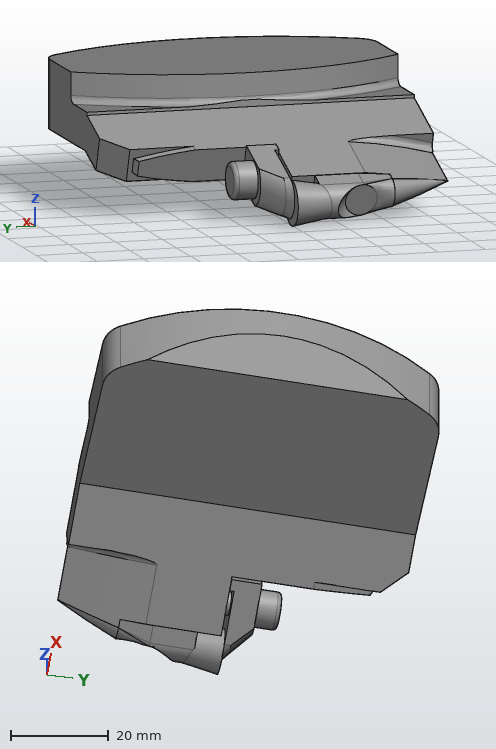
import cadquery as cq
import math

TILT = 20.0

WIDTH = 70.0
BLOCK_END_X = 70.6
BLOCK_TOP_Z = 21.9
BLOCK_BOTTOM_Z = 7.3
STEP_X = 29.85
SHELF_Z = 15.5
END_RADIUS = 60.0
PLATFORM_FRONT_X = 30.0
PLATFORM_FILLET = 1.5
REAR_CORNER_RADIUS = 6.0
REAR_CHAMFER = 6.5
FRONT_CORNER_CHAMFER = 5.05

HALF_THICKNESS = 3.8
NECK_X = 18.55
PAD_X = 17.0
PAD_END_Y = 28.2
PAD_END_BEVEL = 0.75
SEAT_X = 4.3
SHOULDER_Y = -0.7
FLAT_HALF_WIDTH = 16.35
TAPER_LENGTH = 18.4
TAPER_RADIUS = 104.0
NECK_FILLET = 1.5
NOSE_END_Y = -(FLAT_HALF_WIDTH + TAPER_LENGTH)
NOSE_END_AXIS_X = 5.6
NOSE_EDGE_HALF = 0.1

CLAMP_HALF_THICKNESS = 4.4
CLAMP_TOP_Y = 5.65
CLAMP_BACK_X = 16.6
TOOTH_FRONT_X = 14.2
CLAMP_BEVEL_START_Y = 1.6
CLAMP_LOW_CORNER_X = 2.8
CLAMP_TOP_CORNER_X = 7.1
CLAMP_LOW_TIP_X = -2.0
CLAMP_BEVEL_TIP_X = -0.3
CLAMP_TOP_TIP_X = 4.5
SCREW_X = 10.25
SCREW_HEAD_DIAMETER = 7.9
SCREW_HEAD_HEIGHT = 4.9
SCREW_HEAD_FILLET = 0.9
SCREW_SHANK_DIAMETER = 4.8

CUTTING_Y = 0.2
CUTTING_RADIUS = 4.75
CLEARANCE_ANGLE = 9.5
SHANK_HALF_THICKNESS = 3.7
SHANK_CORNER_X = 0.45
SHANK_TIP_X = -3.5
SHANK_START_Y = -5.6
SHANK_BEND_Y = -14.85
INSERT_END_Y = -21.7
INSERT_END_CORNER_X = 2.5
INSERT_END_RADIUS = 3.1
POCKET_X = -0.2
POCKET_RADIUS = 3.6
RAMP_REACH = 3.2
POCKET_FLARE_ANGLE = 37.0
POCKET_DEPTH = 7.55

TILT_COS = math.cos(math.radians(TILT))
TILT_SIN = math.sin(math.radians(TILT))
CLEAR = 15.1


def tilted(shape):
    return shape.rotate((0, 0, 0), (0, 1, 0), -TILT)


def tilted_point(x, z):
    return (x * TILT_COS - z * TILT_SIN, x * TILT_SIN + z * TILT_COS)


def tilted_line_x(offset, z):
    """X at which the tilted line lying `offset` above the mid-plane reaches height z."""
    return (z - offset / TILT_COS) * TILT_COS / TILT_SIN


def tilted_line_z(offset, x):
    return (offset + x * TILT_SIN) / TILT_COS


def slab(points, half_thickness):
    """Plate with a polygonal outline in X and Y, centred on z = 0."""
    return cq.Workplane("XY").polyline(points).close().extrude(half_thickness, both=True)


def round_nose(y, corner_x, tip_x, half):
    """Open path at the given Y: a round end between two corners, bulging to tip_x."""
    return (
        cq.Workplane("XZ", origin=(0, y, 0))
        .moveTo(corner_x, half)
        .threePointArc((tip_x, 0), (corner_x, -half))
    )


def half_disc(y, corner_x, radius):
    return round_nose(y, corner_x, corner_x - radius, radius).close().val()


def round_ended(y, corner_x, tip_x, half, back_x):
    """Closed section with a rounded front, flat sides and a flat back."""
    return round_nose(y, corner_x, tip_x, half).lineTo(back_x, -half).lineTo(back_x, half).close().val()


def loft(wires, ruled=True):
    return cq.Workplane(cq.Solid.makeLoft(wires, ruled))



def block():
    """Full-width bent block, with the neck leading down towards the blade."""
    top_corner = tilted_point(NECK_X, HALF_THICKNESS)
    bottom_corner = tilted_point(NECK_X, -HALF_THICKNESS)
    side = [
        top_corner,
        (STEP_X, tilted_line_z(HALF_THICKNESS, STEP_X)),
        (STEP_X, BLOCK_TOP_Z),
        (BLOCK_END_X, BLOCK_TOP_Z),
        (BLOCK_END_X, BLOCK_BOTTOM_Z + REAR_CHAMFER),
        (BLOCK_END_X - REAR_CHAMFER, BLOCK_BOTTOM_Z),
        (tilted_line_x(-HALF_THICKNESS, BLOCK_BOTTOM_Z), BLOCK_BOTTOM_Z),
        bottom_corner,
    ]
    body = cq.Workplane("XZ").polyline(side).close().extrude(WIDTH / 2, both=True)
    return body.intersect(rear_outline()).cut(front_relief()).cut(corner_chamfer())


def rear_outline():
    """Column with the curved rear face and its rounded corners."""
    half_width = WIDTH / 2
    arc_centre_x = BLOCK_END_X - END_RADIUS
    corner_x = arc_centre_x + math.sqrt(END_RADIUS**2 - half_width**2)
    return (
        cq.Workplane("XY")
        .moveTo(0, -half_width)
        .lineTo(corner_x, -half_width)
        .threePointArc((BLOCK_END_X, 0), (corner_x, half_width))
        .lineTo(0, half_width)
        .close()
        .extrude(BLOCK_TOP_Z)
        .faces("<Y or >Y")
        .edges(">X")
        .fillet(REAR_CORNER_RADIUS)
    )


def front_relief():
    """Space above the shelf, in front of the curved platform face and its base fillet."""
    outer = END_RADIUS + 2 * CLEAR
    axis_x = PLATFORM_FRONT_X + END_RADIUS
    top = BLOCK_TOP_Z + CLEAR
    bend = PLATFORM_FILLET * (1 - math.sqrt(0.5))
    return (
        cq.Workplane("XZ", origin=(axis_x, 0, 0))
        .moveTo(END_RADIUS, top)
        .lineTo(END_RADIUS, SHELF_Z + PLATFORM_FILLET)
        .threePointArc((END_RADIUS + bend, SHELF_Z + bend), (END_RADIUS + PLATFORM_FILLET, SHELF_Z))
        .lineTo(outer, SHELF_Z)
        .lineTo(outer, top)
        .close()
        .revolve(360, (0, 0), (0, 1))
    )


def corner_chamfer():
    """Wedge that bevels the +Y corner of the neck."""
    half_width = WIDTH / 2
    corner = [
        (NECK_X, half_width - FRONT_CORNER_CHAMFER),
        (NECK_X + FRONT_CORNER_CHAMFER, half_width),
        (NECK_X, half_width),
    ]
    return tilted(slab(corner, 2 * HALF_THICKNESS))


def taper_axis():
    """Y and Z of the axis of the upper taper on the -Y side of the blade."""
    chord = math.hypot(TAPER_LENGTH, HALF_THICKNESS)
    reach = math.sqrt(TAPER_RADIUS**2 - (chord / 2) ** 2)
    middle_y = -FLAT_HALF_WIDTH - TAPER_LENGTH / 2
    middle_z = HALF_THICKNESS / 2
    return (middle_y + reach * HALF_THICKNESS / chord, middle_z - reach * TAPER_LENGTH / chord)


def taper_half_thickness(y):
    axis_y, axis_z = taper_axis()
    return axis_z + math.sqrt(TAPER_RADIUS**2 - (y - axis_y) ** 2)


def taper_relief(fillet):
    """Space above the blade taper on the -Y side, ending at the neck with a corner fillet."""
    axis_y, axis_z = taper_axis()
    outer = TAPER_RADIUS + CLEAR
    bend = fillet * (1 - math.sqrt(0.5))
    profile = (
        cq.Workplane("XZ", origin=(0, axis_y, axis_z))
        .moveTo(-CLEAR, TAPER_RADIUS)
        .lineTo(NECK_X - fillet, TAPER_RADIUS)
    )
    if fillet:
        profile = profile.threePointArc(
            (NECK_X - bend, TAPER_RADIUS + bend), (NECK_X, TAPER_RADIUS + fillet))
    ring = (
        profile.lineTo(NECK_X, outer)
        .lineTo(-CLEAR, outer)
        .close()
        .revolve(360, (0, 0), (1, 0))
    )
    window = [
        (-CLEAR, -FLAT_HALF_WIDTH),
        (NECK_X + CLEAR, -FLAT_HALF_WIDTH),
        (NECK_X + CLEAR, NOSE_END_Y - CLEAR),
        (-CLEAR, NOSE_END_Y - CLEAR),
    ]
    return ring.intersect(slab(window, 2 * HALF_THICKNESS))


def blade():
    """Blade with the pad on its +Y side, thinned towards both ends."""
    outline = [
        (SEAT_X, SHOULDER_Y),
        (PAD_X, SHOULDER_Y),
        (PAD_X, PAD_END_Y),
        (NECK_X, PAD_END_Y + PAD_END_BEVEL),
        (NECK_X, -WIDTH / 2),
        (PAD_X, -WIDTH / 2),
        (PAD_X, NOSE_END_Y),
        (NOSE_END_AXIS_X, NOSE_END_Y),
        (INSERT_END_CORNER_X, INSERT_END_Y),
        (SEAT_X, INSERT_END_Y),
    ]
    plate = slab(outline, HALF_THICKNESS)
    nose_side = taper_relief(NECK_FILLET)
    pad_side = taper_relief(0).mirror("XZ")
    for relief in (nose_side, pad_side):
        plate = plate.cut(relief).cut(relief.mirror("XY"))
    return plate


def nose():
    """Rounded, tapering front of the blade below the insert."""
    sections = []
    for share in (0, 0.5, 1):
        y = INSERT_END_Y + share * (NOSE_END_Y - INSERT_END_Y)
        axis_x = INSERT_END_CORNER_X + share * (NOSE_END_AXIS_X - INSERT_END_CORNER_X)
        sections.append(half_disc(y, axis_x, max(taper_half_thickness(y), NOSE_EDGE_HALF)))
    return loft(sections, ruled=False)


def clamp():
    """Clamp finger over the insert, with the tooth that bears on the blade."""
    stations = [
        (CUTTING_Y, CLAMP_LOW_CORNER_X, CLAMP_LOW_TIP_X),
        (CLAMP_BEVEL_START_Y, CLAMP_LOW_CORNER_X, CLAMP_BEVEL_TIP_X),
        (CLAMP_TOP_Y, CLAMP_TOP_CORNER_X, CLAMP_TOP_TIP_X),
    ]
    finger = loft(
        [round_ended(*station, CLAMP_HALF_THICKNESS, CLAMP_BACK_X) for station in stations]
    )
    tooth_outline = [
        (TOOTH_FRONT_X, CUTTING_Y),
        (CLAMP_BACK_X, CUTTING_Y),
        (CLAMP_BACK_X, SHOULDER_Y),
        (TOOTH_FRONT_X, SHOULDER_Y),
    ]
    return finger.union(slab(tooth_outline, CLAMP_HALF_THICKNESS))


def screw():
    """Head of the clamping screw, and its shank where it crosses the slot."""
    head = (
        cq.Workplane("XZ", origin=(SCREW_X, CLAMP_TOP_Y, 0))
        .circle(SCREW_HEAD_DIAMETER / 2)
        .extrude(-SCREW_HEAD_HEIGHT)
        .faces(">Y")
        .edges()
        .fillet(SCREW_HEAD_FILLET)
    )
    shank = (
        cq.Workplane("XZ", origin=(SCREW_X, CUTTING_Y, 0))
        .circle(SCREW_SHANK_DIAMETER / 2)
        .extrude(CUTTING_Y - SHOULDER_Y)
    )
    return head, shank


def make_holder():
    front = blade().union(nose()).union(clamp())
    for piece in screw():
        front = front.union(piece)
    return block().union(tilted(front))



def cutting_cone():
    """Round cutting edge with its conical clearance face, cut back where the blade begins."""
    tip_radius = -SHANK_TIP_X
    length = (CUTTING_RADIUS - tip_radius) / math.tan(math.radians(CLEARANCE_ANGLE))
    cone = cq.Workplane(
        cq.Solid.makeCone(
            CUTTING_RADIUS, tip_radius, length, cq.Vector(0, CUTTING_Y, 0), cq.Vector(0, -1, 0)
        )
    )
    blade_space = [
        (SEAT_X, SHOULDER_Y),
        (CLEAR, SHOULDER_Y),
        (CLEAR, -CLEAR),
        (SEAT_X, -CLEAR),
    ]
    return cone.cut(slab(blade_space, CUTTING_RADIUS))


def insert_shank():
    """Shank with a rounded front, tapering below its bend; in front of a slanted plane the
    tapering part is left to the chip ramp."""
    straight = (SHANK_CORNER_X, SHANK_TIP_X, SHANK_HALF_THICKNESS, SEAT_X)
    end_tip_x = INSERT_END_CORNER_X - INSERT_END_RADIUS
    body = loft([
        round_ended(SHANK_START_Y, *straight),
        round_ended(SHANK_BEND_Y, *straight),
        round_ended(INSERT_END_Y, INSERT_END_CORNER_X, end_tip_x, INSERT_END_RADIUS, SEAT_X),
    ])
    ramp_space = [
        (POCKET_X, SHANK_BEND_Y),
        (INSERT_END_CORNER_X, INSERT_END_Y),
        (-CLEAR, INSERT_END_Y),
        (-CLEAR, SHANK_BEND_Y),
    ]
    return body.cut(slab(ramp_space, CUTTING_RADIUS))


def chip_pocket():
    """Flat-floored pocket with a flared wall, opening forwards."""
    flare = POCKET_DEPTH * math.tan(math.radians(POCKET_FLARE_ANGLE))
    return cq.Workplane(
        cq.Solid.makeCone(
            POCKET_RADIUS,
            POCKET_RADIUS + flare,
            POCKET_DEPTH,
            cq.Vector(POCKET_X, SHANK_BEND_Y, 0),
            cq.Vector(-1, 0, 0),
        )
    )


def chip_ramp():
    """Ramp from the lower half of the pocket floor to the rounded end of the insert."""
    floor_half = (
        cq.Workplane("YZ", origin=(POCKET_X, 0, 0))
        .moveTo(SHANK_BEND_Y, POCKET_RADIUS)
        .threePointArc((SHANK_BEND_Y - RAMP_REACH, 0), (SHANK_BEND_Y, -POCKET_RADIUS))
        .close()
        .val()
    )
    return loft([floor_half, half_disc(INSERT_END_Y, INSERT_END_CORNER_X, INSERT_END_RADIUS)])


def make_insert():
    return tilted(cutting_cone().union(insert_shank()).cut(chip_pocket()).union(chip_ramp()))


holder = make_holder()
insert = make_insert()
result = cq.Compound.makeCompound([holder.solids().val(), insert.solids().val()])